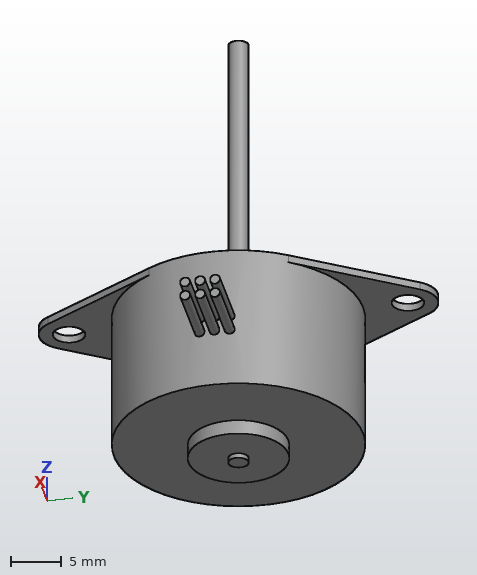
import cadquery as cq
import math

can_diameter = 25.0
can_height = 15.0
can_radius = can_diameter / 2

flange_thickness = 0.8
ear_radius = 3.0
ear_offset = 17.0
mounting_hole_diameter = 3.2

boss_diameter = 10.0
boss_height = 1.5
shaft_diameter = 2.0
shaft_top_length = 28.5
shaft_bottom_length = 0.5

wire_diameter = 1.0
wire_spacing = 1.5
wire_columns = 3
wire_rows = 2
wire_free_length = 7.5
wire_embedded_length = 1.0
lower_wire_height = 6.1


def make_cylinder(diameter, bottom, height):
    """Solid cylinder on the motor axis."""
    return cq.Workplane("XY").workplane(offset=bottom).circle(diameter / 2).extrude(height)


def make_flange():
    """Two-eared plate whose straight edges are tangent to the can circle and the ears."""
    edge_normal = math.asin((can_radius - ear_radius) / ear_offset)
    side_x = can_radius * math.cos(edge_normal)
    side_y = can_radius * math.sin(edge_normal)
    ear_x = ear_radius * math.cos(edge_normal)
    ear_y = ear_offset + ear_radius * math.sin(edge_normal)
    ear_tip = ear_offset + ear_radius

    plate = (
        cq.Workplane("XY")
        .workplane(offset=can_height - flange_thickness)
        .moveTo(side_x, -side_y)
        .threePointArc((can_radius, 0), (side_x, side_y))
        .lineTo(ear_x, ear_y)
        .threePointArc((0, ear_tip), (-ear_x, ear_y))
        .lineTo(-side_x, side_y)
        .threePointArc((-can_radius, 0), (-side_x, -side_y))
        .lineTo(-ear_x, -ear_y)
        .threePointArc((0, -ear_tip), (ear_x, -ear_y))
        .close()
        .extrude(flange_thickness)
    )
    holes = (
        cq.Workplane("XY")
        .workplane(offset=can_height - flange_thickness)
        .pushPoints([(0, ear_offset), (0, -ear_offset)])
        .circle(mounting_hole_diameter / 2)
        .extrude(flange_thickness)
    )
    return plate.cut(holes)


def make_shaft():
    """Shaft running through the can and both bosses."""
    bottom = -boss_height - shaft_bottom_length
    top = can_height + boss_height + shaft_top_length
    return make_cylinder(shaft_diameter, bottom, top - bottom)


def make_wires():
    """Lead wires, rooted inside the can wall so that they fuse with it."""
    grid_center_height = lower_wire_height + wire_spacing * (wire_rows - 1) / 2
    return (
        cq.Workplane("YZ", origin=(can_radius - wire_embedded_length, 0, grid_center_height))
        .rarray(wire_spacing, wire_spacing, wire_columns, wire_rows)
        .circle(wire_diameter / 2)
        .extrude(wire_embedded_length + wire_free_length)
    )


can = make_cylinder(can_diameter, 0, can_height)
top_boss = make_cylinder(boss_diameter, can_height, boss_height)
bottom_boss = make_cylinder(boss_diameter, -boss_height, boss_height)

result = (
    can.union(make_flange())
    .union(top_boss)
    .union(bottom_boss)
    .union(make_shaft())
    .union(make_wires())
)